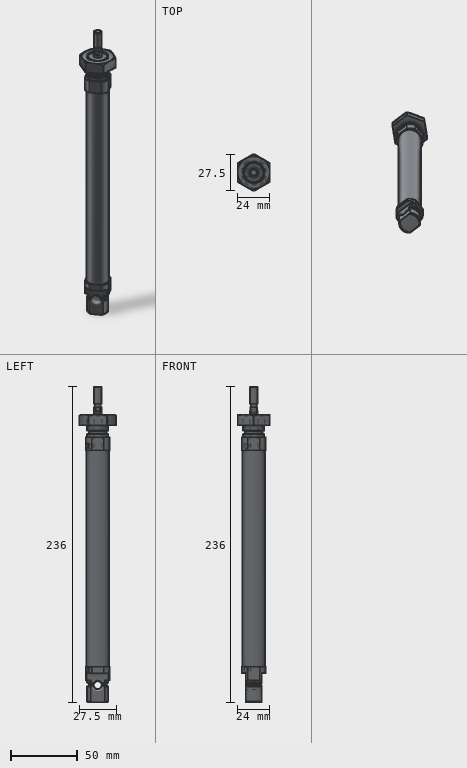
import cadquery as cq
import math

total_length = 236
rear_groove_bottom = 11.8
rear_ledge = 16.8
fork_top = 22.0
tube_bottom = 26.7
tube_top = 188.3
front_ledge = 198.2
front_groove_bottom = 200.4
collar_top = 215.0

tube_diameter = 17.2
cap_flat_width = 18.0
cap_corner_diameter = 20.0
collar_diameter = 16.0
collar_chamfer = 1.0
rear_groove_height = 3.3
front_groove_height = 2.8
rear_groove_floor = 1.5
front_groove_floor = 2.0
groove_depth = 1.2
rear_tongue_width = 12.0

pivot_diameter = 6.0
pivot_mouth_radius = 1.7
pivot_height = 13.0

port_diameter = 3.8
port_depth = 3.5
port_angle = math.radians(126)
rear_port_height = 24.5
front_port_height = 191.9

nut_height = 8.0
nut_bottom = collar_top - nut_height
nut_flat_width = 24.0
nut_corner_diameter = 27.5
nut_face_diameter = 24.0
nut_bevel_angle = math.radians(20)

rod_diameter = 6.0
rod_neck_diameter = 4.7
rod_tip_diameter = 4.5
rod_tip_height = 0.5
rod_thread_bottom = 223.0
rod_neck_bottom = 220.5
rod_flat_width = 5.0
rod_flat_bottom = 217.4
rod_bottom = tube_top


def revolve_profile(points):
    """Turn a closed (radius, height) outline about the Z axis."""
    return cq.Workplane("XZ").polyline(points).close().revolve(360, (0, 0, 0), (0, 1, 0))


def cylinder(diameter, bottom, top):
    """Round bar on the Z axis."""
    return cq.Workplane("XY").workplane(offset=bottom).circle(diameter / 2).extrude(top - bottom)


def rectangular_bar(x_width, y_width, bottom, top):
    """Rectangular bar centred on the Z axis."""
    return cq.Workplane("XY").workplane(offset=bottom).rect(x_width, y_width).extrude(top - bottom)


def cap_block(bottom, top):
    """Square block whose four corners are rounded about the Z axis."""
    return cylinder(cap_corner_diameter, bottom, top).intersect(
        rectangular_bar(cap_flat_width, cap_flat_width, bottom, top)
    )


def make_groove_cutter(bottom, height, floor_height):
    """Ring that cuts a flat-bottomed groove with sloping walls into a collar."""
    outer_radius = collar_diameter / 2
    floor_radius = outer_radius - groove_depth
    wall_height = (height - floor_height) / 2
    top = bottom + height
    return revolve_profile([
        (outer_radius, bottom),
        (floor_radius, bottom + wall_height),
        (floor_radius, top - wall_height),
        (outer_radius, top),
    ])


def make_rear_cap():
    collar = cylinder(collar_diameter, 0, rear_ledge).faces("<Z").chamfer(collar_chamfer)
    collar = collar.cut(make_groove_cutter(rear_groove_bottom, rear_groove_height, rear_groove_floor))
    cap = collar.union(cap_block(rear_ledge, tube_bottom))
    return cut_rear_tongue(cap).cut(make_pivot_cutter())


def make_front_cap():
    collar = cylinder(collar_diameter, front_ledge, collar_top).faces(">Z").chamfer(collar_chamfer)
    collar = collar.cut(make_groove_cutter(front_groove_bottom, front_groove_height, front_groove_floor))
    return collar.union(cap_block(tube_top, front_ledge))


def cut_rear_tongue(rear_cap):
    """Flatten both X sides of the rear end into a tongue."""
    side_width = (cap_corner_diameter - rear_tongue_width) / 2
    side = rectangular_bar(side_width, cap_corner_diameter, 0, fork_top)
    for direction in (-1, 1):
        rear_cap = rear_cap.cut(side.translate((direction * (rear_tongue_width + side_width) / 2, 0, 0)))
    return rear_cap


def make_pivot_cutter():
    """Cross hole along X that flares out in a quarter round at each face of the tongue."""
    face = rear_tongue_width / 2
    hole_radius = pivot_diameter / 2
    rim_radius = hole_radius + pivot_mouth_radius
    straight_end = face - pivot_mouth_radius
    arc_offset = pivot_mouth_radius * math.sin(math.pi / 4)
    arc_middle_x = straight_end + arc_offset
    arc_middle_z = rim_radius - arc_offset
    outline = (
        cq.Workplane("XZ")
        .moveTo(-face, 0)
        .lineTo(-face, rim_radius)
        .threePointArc((-arc_middle_x, arc_middle_z), (-straight_end, hole_radius))
        .lineTo(straight_end, hole_radius)
        .threePointArc((arc_middle_x, arc_middle_z), (face, rim_radius))
        .lineTo(face, 0)
        .close()
    )
    return outline.revolve(360, (0, 0, 0), (1, 0, 0)).translate((0, 0, pivot_height))


def make_port_cutter(height):
    """Blind radial hole that starts at the rounded corner of a cap."""
    outward = cq.Vector(math.cos(port_angle), math.sin(port_angle), 0)
    start = outward * (cap_corner_diameter / 2) + cq.Vector(0, 0, height)
    return cq.Workplane(cq.Solid.makeCylinder(port_diameter / 2, port_depth, start, outward * -1))


def make_housing():
    tube = cylinder(tube_diameter, tube_bottom, tube_top)
    housing = tube.union(make_rear_cap()).union(make_front_cap())
    for height in (rear_port_height, front_port_height):
        housing = housing.cut(make_port_cutter(height))
    return housing.cut(cylinder(rod_diameter, rod_bottom, collar_top))


def make_nut():
    """Hexagon nut with its corners bevelled on the upper face."""
    corner_radius = nut_corner_diameter / 2
    face_radius = nut_face_diameter / 2
    bevel_height = (corner_radius - face_radius) * math.tan(nut_bevel_angle)
    hexagon_diameter = nut_flat_width / math.cos(math.pi / 6)
    hexagon = (
        cq.Workplane("XY")
        .workplane(offset=nut_bottom)
        .polygon(6, hexagon_diameter)
        .extrude(nut_height)
        .rotate((0, 0, 0), (0, 0, 1), 90)
    )
    envelope = revolve_profile([
        (0, nut_bottom),
        (corner_radius, nut_bottom),
        (corner_radius, collar_top - bevel_height),
        (face_radius, collar_top),
        (0, collar_top),
    ])
    return hexagon.intersect(envelope).cut(cylinder(collar_diameter, nut_bottom, collar_top))


def make_rod():
    """Rod with a tapered tip, a neck below the thread and two wrench flats facing along X."""
    radius = rod_diameter / 2
    neck_radius = rod_neck_diameter / 2
    rod = revolve_profile([
        (0, rod_bottom),
        (radius, rod_bottom),
        (radius, rod_neck_bottom),
        (neck_radius, rod_neck_bottom),
        (neck_radius, rod_thread_bottom),
        (radius, rod_thread_bottom),
        (radius, total_length - rod_tip_height),
        (rod_tip_diameter / 2, total_length),
        (0, total_length),
    ])
    flat_cutter = rectangular_bar(rod_diameter, rod_diameter, rod_flat_bottom, rod_neck_bottom).cut(
        rectangular_bar(rod_flat_width, rod_diameter, rod_flat_bottom, rod_neck_bottom)
    )
    return rod.cut(flat_cutter)


housing = make_housing()
nut = make_nut()
rod = make_rod()

result = cq.Compound.makeCompound([housing.val(), nut.val(), rod.val()])